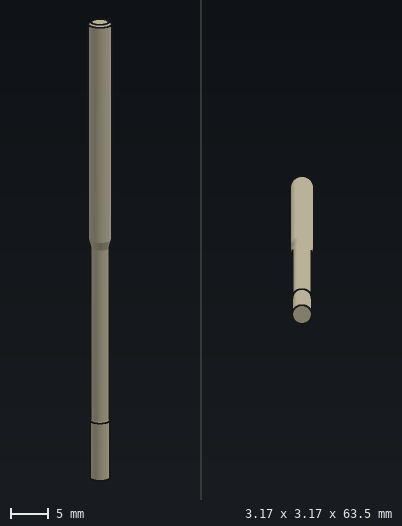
import cadquery as cq

total_length = 63.5
shank_diameter = 3.175
shank_chamfer_width = 0.37
shank_chamfer_height = 0.3

neck_diameter = 2.5
shank_bottom = 33.25
taper_height = 1.2

head_diameter = 2.6
head_length = 8.0
collar_height = 0.3

shank_radius = shank_diameter / 2
neck_radius = neck_diameter / 2
head_radius = head_diameter / 2


def make_shank():
    """Shank, taper, neck and the flared collar that seats on the head."""
    profile = (
        cq.Workplane("XZ")
        .moveTo(0, head_length)
        .lineTo(head_radius, head_length)
        .lineTo(neck_radius, head_length + collar_height)
        .lineTo(neck_radius, shank_bottom - taper_height)
        .lineTo(shank_radius, shank_bottom)
        .lineTo(shank_radius, total_length - shank_chamfer_height)
        .lineTo(shank_radius - shank_chamfer_width, total_length)
        .lineTo(0, total_length)
        .close()
    )
    return profile.revolve(360, (0, 0, 0), (0, 1, 0))


def make_head():
    """Plain cylindrical head below the collar."""
    return cq.Workplane("XY").circle(head_radius).extrude(head_length)


shank = make_shank()
head = make_head()

result = cq.Compound.makeCompound([shank.val(), head.val()])